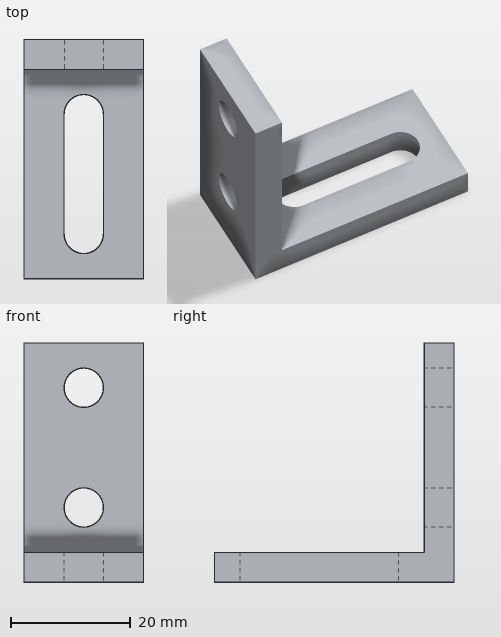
import cadquery as cq

width = 20.0
leg_length = 40.0
thickness = 5.0

hole_diameter = 6.5
center_spacing = 20.0
slot_length = center_spacing + hole_diameter
free_leg_center = (leg_length + thickness) / 2


def make_legs():
    """Horizontal leg along Y and upright leg at the +Y end."""
    base = cq.Workplane("XY").box(width, leg_length, thickness, centered=(True, False, False))
    upright = (
        cq.Workplane("XY")
        .box(width, thickness, leg_length, centered=(True, False, False))
        .translate((0, leg_length - thickness, 0))
    )
    return base.union(upright)


def make_slot():
    """Slot cutter through the horizontal leg, running along Y."""
    return (
        cq.Workplane("XY")
        .center(0, leg_length - free_leg_center)
        .slot2D(slot_length, hole_diameter, 90)
        .extrude(thickness)
    )


def make_holes():
    """Cutters for the pair of round holes through the upright leg."""
    return (
        cq.Workplane("XZ", origin=(0, leg_length, free_leg_center))
        .pushPoints([(0, -center_spacing / 2), (0, center_spacing / 2)])
        .circle(hole_diameter / 2)
        .extrude(thickness)
    )


result = make_legs().cut(make_slot()).cut(make_holes())